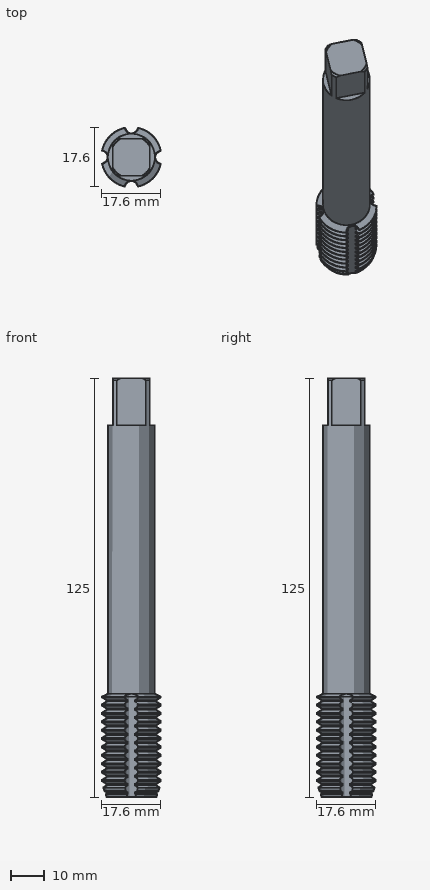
import cadquery as cq
import math

total_length = 125.0
shank_radius = 7.0
square_width = 11.0
square_length = 14.0
end_chamfer = 0.6
shoulder_height = 0.9

thread_radius = 9.0
thread_depth = 1.5
thread_pitch = 2.5
pitch_count = 12
crest_flat = 0.4
flank_angle = math.radians(30)
lead_radius = 7.5
lead_length = 3.8

flute_count = 4
flute_radius = 2.0
flute_bottom = 7.1

head_length = pitch_count * thread_pitch
shoulder_top = head_length + shoulder_height
square_base = total_length - square_length
root_radius = thread_radius - thread_depth
ridge_half_base = crest_flat / 2 + thread_depth * math.tan(flank_angle)


def revolve_about_z(points):
    """Solid of revolution from (radius, height) points."""
    return cq.Workplane("XZ").polyline(points).close().revolve(360, (0, 0, 0), (0, 1, 0))


def make_flutes():
    """Round-bottomed cutters spaced evenly around the head and shoulder."""
    return (
        cq.Workplane("XY")
        .polarArray(flute_bottom + flute_radius, 0, 360, flute_count)
        .circle(flute_radius)
        .extrude(shoulder_top)
    )


def make_shank():
    """Round shank with a driving square on top and a fluted conical shoulder below."""
    shoulder_and_rod = revolve_about_z([
        (0, head_length),
        (thread_radius, head_length),
        (shank_radius, shoulder_top),
        (shank_radius, total_length - end_chamfer),
        (shank_radius - end_chamfer, total_length),
        (0, total_length),
    ])
    square_end = cq.Workplane("XY", origin=(0, 0, square_base))
    flats = (
        square_end.rect(2 * shank_radius, 2 * shank_radius)
        .rect(square_width, square_width)
        .extrude(square_length)
    )
    return shoulder_and_rod.cut(flats).cut(make_flutes())


def make_ridged_core():
    """Core with evenly spaced ring-shaped thread ridges, half of each end ridge beyond the head."""
    points = [(0, -thread_pitch), (root_radius, -thread_pitch)]
    for index in range(pitch_count + 1):
        height = index * thread_pitch
        points += [
            (root_radius, height - ridge_half_base),
            (thread_radius, height - crest_flat / 2),
            (thread_radius, height + crest_flat / 2),
            (root_radius, height + ridge_half_base),
        ]
    points += [(root_radius, head_length + thread_pitch), (0, head_length + thread_pitch)]
    return revolve_about_z(points)


def make_head_envelope():
    """Crest cylinder of the head with a tapered lead at its lower end."""
    return revolve_about_z([
        (0, 0),
        (lead_radius, 0),
        (thread_radius, lead_length),
        (thread_radius, head_length),
        (0, head_length),
    ])


def make_threaded_head():
    """Ridged core trimmed to the head envelope and fluted."""
    return make_ridged_core().intersect(make_head_envelope()).cut(make_flutes())


shank = make_shank()
threaded_head = make_threaded_head()
result = cq.Compound.makeCompound([shank.val(), threaded_head.val()])